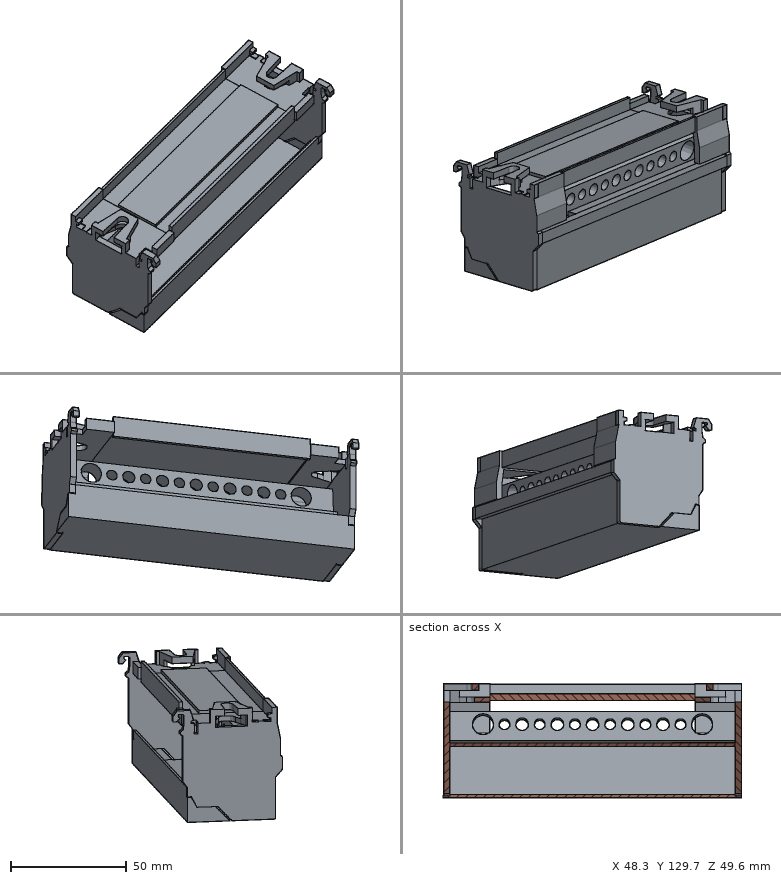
import cadquery as cq
import math

HEIGHT = 49.6
CAP_OUTER_Y = 64.7
PLATE_THICK = 2.7
CAP_REACH = 20.1
CAP_INNER_Y = CAP_OUTER_Y - PLATE_THICK
CAP_EDGE_Y = CAP_OUTER_Y - CAP_REACH

DECK_Z = 43.8
DECK_BOTTOM = 41.5

WALL_LEFT = 0.9
WALL_RIGHT = 3.8
WALL_TOP_LEFT = 2.5
PLATE_TOP_LEFT = 2.3
WALL_TOP_RIGHT = 4.8
WALL_BOTTOM = 28.1
WALL_BEND = 35.8
WALL_SLOPE_TOP = 43.3

BASE_LEFT = 3.1
BASE_RIGHT = 42.0
BASE_WALL = 1.5
FLANGE_BOTTOM = 22.3
FLANGE_TOP = 27.3
FLANGE_INNER = 3.9
FOOT_PROUD = 0.3
FOOT_TOP = 6.6
FOOT_HEEL_TOP = 11.0
FOOT_HEEL_X = 40.3
FOOT_HEEL_GAP = 0.4
FOOT_STEP_X = 37.8
RIGHT_WALL_INNER = 40.8
RIGHT_WALL_TOP = 15.3

COVER_LEFT = 3.6
COVER_TOP = 49.4
COVER_LEFT_WALL = 1.2
COVER_RIGHT_WALL = 1.5
COVER_DECK_BOTTOM = 42.3
COVER_RIGHT_BOTTOM = 40.2
STRIP_LEFT = 13.0
STRIP_RIGHT = 33.0
STRIP_TOP = 45.2

BAR_LEAN = 6.0
BAR_FRONT_X = 10.5
HOLE_Z = 31.2
BAR_ABOVE_HOLES = 5.6
BAR_BELOW_HOLES = 7.3
BAR_WIDTH = 7.8
HOLE_PITCH = 7.6
SMALL_HOLE_R = 2.3
LARGE_HOLE_R = 2.7
END_HOLE_R = 4.5
END_HOLE_Y = 47.6

CARRIER_RIGHT = 24.8
LEDGE_RIGHT = 8.2
RECESS_RIGHT = 19.5
RECESS_Y = 35.0

LUG_LEFT = 13.4
LUG_RIGHT = 31.9
LUG_MID = (LUG_LEFT + LUG_RIGHT) / 2
LUG_NOSE_HALF = 4.7
LUG_ROOT_HALF = 7.8
LUG_REACH = 15.3
LUG_PLATE_BOTTOM = 46.7
LEG_REACH = 6.9
WINDOW_BOTTOM = 41.7
WINDOW_HALF = 7.0
LEG_END_HALF = 5.3
OPENING_R = 3.8
OPENING_REACH = 13.7
LUG_SLOT_MOUTH_HALF = 3.0
LUG_SLOT_HALF = 2.6
LUG_SLOT_REACH = 12.7

RIM_LEFT = 40.5
RIM_RIGHT = 43.2
RIM_TOP = 46.7
HOOK_GAP_LEFT = 37.0
HOOK_GAP_REACH = 7.5

RELIEF_LEFT = 37.5
RELIEF_RIGHT = 39.0
RELIEF_BOTTOM = 39.1
NOTCH_DEPTH = 0.4
NOTCH_SPANS = [(5.2, 8.2), (10.6, LUG_LEFT)]
PLATE_CORNER_R = 0.8


def box(x0, x1, y0, y1, z0, z1):
    """Axis-aligned block between the given limits."""
    return cq.Workplane("XY").box(x1 - x0, y1 - y0, z1 - z0, centered=False).translate((x0, y0, z0))


def along_y(points, y0, y1):
    """Prism of an XZ outline between two Y positions."""
    return cq.Workplane("XZ", origin=(0, y0, 0)).polyline(points).close().extrude(y0 - y1)


def make_foot(y0, y1):
    """Foot that fills the recess in an end plate."""
    outline = [
        (23.2, 0),
        (29.7, FOOT_TOP),
        (FOOT_STEP_X, FOOT_TOP),
        (FOOT_HEEL_X, FOOT_HEEL_TOP),
        (BASE_RIGHT, FOOT_HEEL_TOP),
        (BASE_RIGHT, 0),
    ]
    return along_y(outline, y0, y1)


def make_base():
    """Floor with a flanged left wall, a stepped right wall and a foot at each end."""
    body = along_y(
        [
            (BASE_LEFT, 0),
            (BASE_RIGHT, 0),
            (BASE_RIGHT, RIGHT_WALL_TOP),
            (RIGHT_WALL_INNER, RIGHT_WALL_TOP),
            (RIGHT_WALL_INNER, FOOT_HEEL_TOP),
            (FOOT_STEP_X, FOOT_HEEL_TOP),
            (FOOT_STEP_X, BASE_WALL),
            (BASE_LEFT + BASE_WALL, BASE_WALL),
            (BASE_LEFT + BASE_WALL, FLANGE_BOTTOM),
            (FLANGE_INNER, FLANGE_BOTTOM),
            (FLANGE_INNER, FLANGE_TOP),
            (0, FLANGE_TOP),
            (0, FLANGE_BOTTOM),
            (BASE_LEFT, FLANGE_BOTTOM),
        ],
        -CAP_INNER_Y,
        CAP_INNER_Y,
    )
    near_foot = make_foot(-CAP_OUTER_Y - FOOT_PROUD, -CAP_INNER_Y)
    far_foot = make_foot(CAP_INNER_Y, CAP_OUTER_Y)
    return body.union(near_foot).union(far_foot)


def make_bar():
    """Leaning bar with a row of cross holes square to its face."""
    bar = box(0, BAR_WIDTH, -CAP_INNER_Y, CAP_INNER_Y, -BAR_BELOW_HOLES, BAR_ABOVE_HOLES)
    holes = [(-END_HOLE_Y, END_HOLE_R), (END_HOLE_Y, END_HOLE_R)]
    for step in range(-5, 6):
        radius = LARGE_HOLE_R if step % 2 == 0 else SMALL_HOLE_R
        holes.append((step * HOLE_PITCH, radius))
    for y, radius in holes:
        bar = bar.cut(cq.Workplane("YZ").center(y, 0).circle(radius).extrude(BAR_WIDTH))
    return bar.rotate((0, 0, 0), (0, 1, 0), -BAR_LEAN).translate((BAR_FRONT_X, 0, HOLE_Z))


def make_carrier():
    """Bed under the bar with a ledge along the base flange and one recessed corner."""
    bed_z = HOLE_Z - BAR_BELOW_HOLES * math.cos(math.radians(BAR_LEAN))
    bed = box(FLANGE_INNER, CARRIER_RIGHT, -CAP_INNER_Y, CAP_INNER_Y, FLANGE_BOTTOM, bed_z)
    ledge = box(FLANGE_INNER, LEDGE_RIGHT, -CAP_INNER_Y, RECESS_Y, FLANGE_BOTTOM, FLANGE_TOP)
    recess = box(FLANGE_INNER, RECESS_RIGHT, RECESS_Y, CAP_INNER_Y, FLANGE_BOTTOM, bed_z)
    return bed.cut(recess).union(ledge)


def make_cover():
    """Channel-shaped cover between the caps with a raised label strip."""
    return along_y(
        [
            (COVER_LEFT, COVER_DECK_BOTTOM),
            (COVER_LEFT, COVER_TOP),
            (COVER_LEFT + COVER_LEFT_WALL, COVER_TOP),
            (COVER_LEFT + COVER_LEFT_WALL, DECK_Z),
            (STRIP_LEFT, DECK_Z),
            (STRIP_LEFT, STRIP_TOP),
            (STRIP_RIGHT, STRIP_TOP),
            (STRIP_RIGHT, DECK_Z),
            (BASE_RIGHT - COVER_RIGHT_WALL, DECK_Z),
            (BASE_RIGHT - COVER_RIGHT_WALL, COVER_TOP),
            (BASE_RIGHT, COVER_TOP),
            (BASE_RIGHT, COVER_RIGHT_BOTTOM),
            (BASE_RIGHT - COVER_RIGHT_WALL, COVER_RIGHT_BOTTOM),
            (BASE_RIGHT - COVER_RIGHT_WALL, COVER_DECK_BOTTOM),
        ],
        -CAP_EDGE_Y,
        CAP_EDGE_Y,
    )


def make_end_plate():
    """Flat end plate with snap nose, lug upright, hook and foot recess."""
    outline = [
        (BASE_LEFT, 0),
        (BASE_LEFT, 18.7),
        (0, 22.0),
        (0, 27.5),
        (WALL_LEFT, WALL_BOTTOM),
        (WALL_LEFT, WALL_BEND),
        (WALL_TOP_LEFT, WALL_SLOPE_TOP),
        (PLATE_TOP_LEFT, WALL_SLOPE_TOP),
        (PLATE_TOP_LEFT, HEIGHT),
        (WALL_TOP_RIGHT, HEIGHT),
        (WALL_TOP_RIGHT, 46.9),
        (6.5, 46.5),
        (6.5, 45.2),
        (5.2, 44.8),
        (5.2, DECK_Z),
        (LUG_LEFT, DECK_Z),
        (LUG_LEFT, HEIGHT),
        (LUG_RIGHT, HEIGHT),
        (LUG_RIGHT, DECK_Z),
        (40.5, DECK_Z),
        (40.5, 44.8),
        (39.3, 45.2),
        (40.7, HEIGHT),
        (46.7, HEIGHT),
        (48.3, 47.3),
        (48.3, 44.8),
        (46.8, 44.8),
        (45.4, 46.4),
        (46.3, 47.3),
        (45.9, 48.0),
        (44.1, 48.0),
        (43.5, 47.5),
        (43.5, DECK_Z),
        (44.0, 41.2),
        (45.2, 40.2),
        (45.2, 39.1),
        (44.0, 38.2),
        (44.0, 18.0),
        (BASE_RIGHT, RIGHT_WALL_TOP),
        (BASE_RIGHT, FOOT_HEEL_TOP + FOOT_HEEL_GAP),
        (FOOT_HEEL_X, FOOT_HEEL_TOP + FOOT_HEEL_GAP),
        (FOOT_STEP_X, FOOT_TOP),
        (28.6, FOOT_TOP),
        (22.4, 0),
    ]
    plate = along_y(outline, -CAP_OUTER_Y, -CAP_INNER_Y)
    corner = cq.selectors.NearestToPointSelector((BASE_LEFT, -CAP_OUTER_Y + PLATE_THICK / 2, 0))
    plate = plate.edges("|Y").edges(corner).fillet(PLATE_CORNER_R)
    for x0, x1 in NOTCH_SPANS:
        plate = plate.cut(box(x0, x1, -CAP_OUTER_Y, -CAP_INNER_Y, DECK_Z - NOTCH_DEPTH, DECK_Z))
    window = box(
        LUG_MID - WINDOW_HALF,
        LUG_MID + WINDOW_HALF,
        -CAP_OUTER_Y,
        -CAP_INNER_Y,
        WINDOW_BOTTOM,
        LUG_PLATE_BOTTOM,
    )
    relief = box(RELIEF_LEFT, RELIEF_RIGHT, -CAP_OUTER_Y, -CAP_INNER_Y, RELIEF_BOTTOM, DECK_Z)
    return plate.cut(window).cut(relief)


def make_lug_opening(z0, z1):
    """Tapered round-ended space between the lug legs."""
    round_start = OPENING_REACH - OPENING_R
    return (
        cq.Workplane("XY", origin=(LUG_MID, -CAP_OUTER_Y, z0))
        .moveTo(-WINDOW_HALF, PLATE_THICK)
        .lineTo(-LEG_END_HALF, LEG_REACH)
        .lineTo(-OPENING_R, round_start)
        .threePointArc((0, OPENING_REACH), (OPENING_R, round_start))
        .lineTo(LEG_END_HALF, LEG_REACH)
        .lineTo(WINDOW_HALF, PLATE_THICK)
        .close()
        .extrude(z1 - z0)
    )


def make_cap_shell():
    """Left wall, deck and right-hand rim behind the end plate."""
    wall = along_y(
        [
            (WALL_LEFT, WALL_BOTTOM),
            (WALL_LEFT, WALL_BEND),
            (WALL_TOP_LEFT, WALL_SLOPE_TOP),
            (WALL_TOP_LEFT, HEIGHT),
            (WALL_TOP_RIGHT, HEIGHT),
            (WALL_TOP_RIGHT, WALL_SLOPE_TOP),
            (WALL_RIGHT, WALL_BEND),
            (WALL_RIGHT, WALL_BOTTOM),
        ],
        -CAP_INNER_Y,
        -CAP_EDGE_Y,
    )
    deck = box(WALL_RIGHT, RIM_RIGHT, -CAP_INNER_Y, -CAP_EDGE_Y, DECK_BOTTOM, DECK_Z)
    rim = box(RIM_LEFT, RIM_RIGHT, -CAP_INNER_Y, -CAP_EDGE_Y, DECK_BOTTOM, RIM_TOP)
    hook_gap = box(
        HOOK_GAP_LEFT, RIM_RIGHT, -CAP_INNER_Y, -CAP_OUTER_Y + HOOK_GAP_REACH, DECK_BOTTOM, RIM_TOP
    )
    opening = make_lug_opening(DECK_BOTTOM, DECK_Z)
    return wall.union(deck).union(rim).cut(hook_gap).cut(opening)


def make_lug():
    """Tapered tongue on two short legs above the deck."""
    outline = [
        (-LUG_ROOT_HALF, PLATE_THICK),
        (-LUG_NOSE_HALF, LUG_REACH),
        (LUG_NOSE_HALF, LUG_REACH),
        (LUG_ROOT_HALF, PLATE_THICK),
    ]
    tongue = cq.Workplane("XY", origin=(LUG_MID, -CAP_OUTER_Y, DECK_Z)).polyline(outline).close()
    tongue = tongue.extrude(HEIGHT - DECK_Z)
    hollow = make_lug_opening(DECK_Z, LUG_PLATE_BOTTOM)
    nose_gap = box(
        LUG_LEFT,
        LUG_RIGHT,
        -CAP_OUTER_Y + LEG_REACH,
        -CAP_OUTER_Y + LUG_REACH,
        DECK_Z,
        LUG_PLATE_BOTTOM,
    )
    return tongue.cut(hollow).cut(nose_gap)


def make_lug_slot():
    """Tapered round-ended screw slot through the lug."""
    return (
        cq.Workplane("XY", origin=(LUG_MID, -CAP_OUTER_Y, LUG_PLATE_BOTTOM))
        .moveTo(-LUG_SLOT_MOUTH_HALF, 0)
        .lineTo(-LUG_SLOT_HALF, LUG_SLOT_REACH - LUG_SLOT_HALF)
        .threePointArc((0, LUG_SLOT_REACH), (LUG_SLOT_HALF, LUG_SLOT_REACH - LUG_SLOT_HALF))
        .lineTo(LUG_SLOT_MOUTH_HALF, 0)
        .close()
        .extrude(HEIGHT - LUG_PLATE_BOTTOM)
    )


def make_end_cap():
    """Cap for the -Y end."""
    return make_end_plate().union(make_cap_shell()).union(make_lug()).cut(make_lug_slot())


base = make_base()
bar = make_bar()
carrier = make_carrier()
cover = make_cover()
near_cap = make_end_cap()
end_caps = [near_cap, near_cap.mirror("XZ")]

result = cq.Compound.makeCompound(
    [base.val(), bar.val(), carrier.val(), cover.val(), *[cap.val() for cap in end_caps]]
)